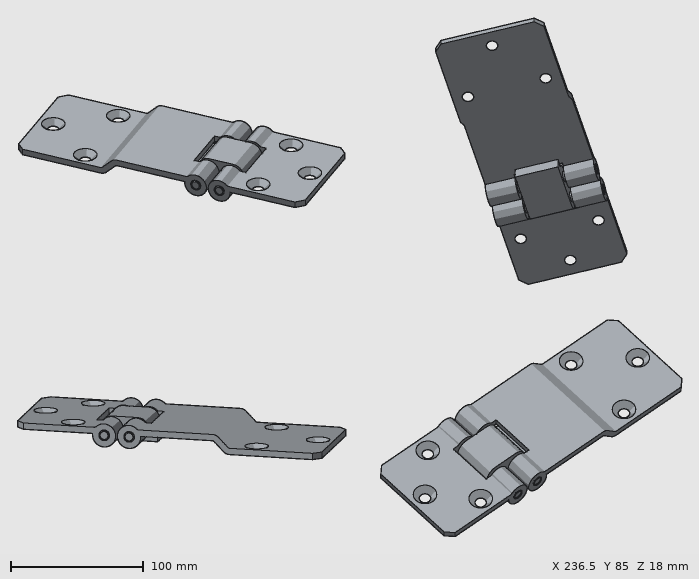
import cadquery as cq
import math

length = 236.5
width = 85.0
barrel_diameter = 18.0
leaf_thickness = 5.0
leaf_top = 15.0
corner_chamfer = 6.0

left_axis_x = 148.5
axis_spacing = 19.5
pin_diameter = 8.0
pin_chamfer = 1.0

slot_length = 37.8
slot_reach = 11.5
link_length = 33.5
stop_reach = 15.8

bend_start_x = 71.0
bend_angle = 45.0
inner_bend_radius = 1.7
barrel_fillet = 2.1

hole_diameter = 8.5
countersink_diameter = 17.7
countersink_angle = 90.0
row_offset = 30.5
left_single_inset = 12.3
left_pair_inset = 52.3
right_single_inset = 12.5
right_pair_inset = 41.6

barrel_radius = barrel_diameter / 2
axis_z = barrel_radius
right_axis_x = left_axis_x + axis_spacing
leaf_bottom = leaf_top - leaf_thickness
outer_bend_radius = inner_bend_radius + leaf_thickness


def along_y(profile, span):
    """Extrude an XZ profile by span, centred on the XZ plane."""
    return profile.extrude(span / 2, both=True)


def cylinder(axis_x, diameter, span):
    return along_y(cq.Workplane("XZ").center(axis_x, axis_z).circle(diameter / 2), span)


def flat_plate(start_x, end_x, bottom_z, top_z, span):
    """Box between two X stations and two heights, centred across the width."""
    return (
        cq.Workplane("XY", origin=((start_x + end_x) / 2, 0, bottom_z))
        .rect(end_x - start_x, span)
        .extrude(top_z - bottom_z)
    )


def joggled_plate():
    """Left plate: low at its free end, stepping up to the raised level."""
    run = leaf_bottom / math.tan(math.radians(bend_angle))
    miter = leaf_thickness * math.tan(math.radians(bend_angle / 2))
    low_inner = (bend_start_x, leaf_thickness)
    high_outer = (bend_start_x + run, leaf_top)
    low_outer = (bend_start_x + miter, 0)
    high_inner = (bend_start_x + run + miter, leaf_bottom)
    outline = [
        (0, 0), low_outer, high_inner, (left_axis_x, leaf_bottom),
        (left_axis_x, leaf_top), high_outer, low_inner, (0, leaf_thickness),
    ]
    plate = along_y(cq.Workplane("XZ").polyline(outline).close(), width)
    bends = [
        (low_inner, inner_bend_radius), (high_inner, inner_bend_radius),
        (low_outer, outer_bend_radius), (high_outer, outer_bend_radius),
    ]
    for (x, z), radius in bends:
        corner = cq.selectors.NearestToPointSelector((x, 0, z))
        plate = plate.edges(corner).fillet(radius)
    return plate


def add_barrel(plate, axis_x, plate_side):
    """Join the barrel, blend it into the top face, and bore it for the pin."""
    leaf = plate.union(cylinder(axis_x, barrel_diameter, width))
    rise = leaf_top - axis_z
    joint_x = axis_x + plate_side * math.sqrt(barrel_radius**2 - rise**2)
    joint = cq.selectors.NearestToPointSelector((joint_x, 0, leaf_top))
    leaf = leaf.edges(joint).fillet(barrel_fillet)
    return leaf.cut(cylinder(axis_x, pin_diameter, width))


def link_slot():
    return flat_plate(
        left_axis_x - slot_reach, right_axis_x + slot_reach, 0, barrel_diameter, slot_length
    )


def finish_leaf(leaf, end_selector, single_x, pair_x, face_z):
    """Chamfer the free corners, then cut the link slot and the screw holes."""
    leaf = leaf.faces(end_selector).edges("|Z").chamfer(corner_chamfer)
    leaf = leaf.cut(link_slot())
    centres = [(single_x, 0), (pair_x, row_offset), (pair_x, -row_offset)]
    return (
        leaf.copyWorkplane(cq.Workplane("XY", origin=(0, 0, face_z)))
        .pushPoints(centres)
        .cskHole(hole_diameter, countersink_diameter, countersink_angle)
    )


def make_left_leaf():
    leaf = add_barrel(joggled_plate(), left_axis_x, -1)
    return finish_leaf(leaf, "<X", left_single_inset, left_pair_inset, leaf_thickness)


def make_right_leaf():
    plate = flat_plate(right_axis_x, length, leaf_bottom, leaf_top, width)
    leaf = add_barrel(plate, right_axis_x, 1)
    return finish_leaf(leaf, ">X", length - right_single_inset, length - right_pair_inset, leaf_top)


def make_link():
    """Block with a stop flange under the left leaf and a pin on each axis."""
    block_outline = (
        cq.Workplane("XZ")
        .moveTo(left_axis_x, 0)
        .lineTo(right_axis_x, 0)
        .threePointArc((right_axis_x + barrel_radius, axis_z), (right_axis_x, barrel_diameter))
        .lineTo(left_axis_x, barrel_diameter)
        .threePointArc((left_axis_x - barrel_radius, axis_z), (left_axis_x, 0))
        .close()
    )
    stop_flange = flat_plate(left_axis_x - stop_reach, left_axis_x, 0, leaf_bottom, link_length)
    link = along_y(block_outline, link_length).union(stop_flange)
    for axis_x in (left_axis_x, right_axis_x):
        pin = cylinder(axis_x, pin_diameter, width).faces("<Y or >Y").chamfer(pin_chamfer)
        link = link.union(pin)
    return link


left_leaf = make_left_leaf()
right_leaf = make_right_leaf()
link = make_link()
result = cq.Compound.makeCompound([left_leaf.val(), right_leaf.val(), link.val()])